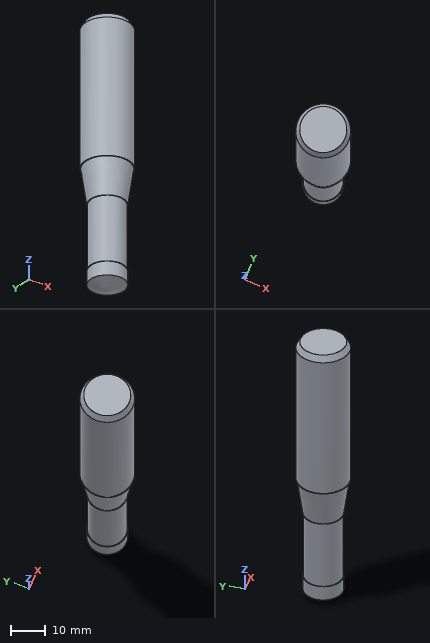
import cadquery as cq

total_length = 89.25
point_height = 2.2
head_top = 7.0
neck_top = 29.0
taper_top = 41.05

shank_diameter = 16.0
taper_top_diameter = 15.4
neck_diameter = 11.5
head_diameter = 12.0
taper_bottom_diameter = head_diameter

chamfer_height = 2.0
chamfer_width = 1.2


def revolve_profile(points):
    """Turn a closed (radius, height) outline about the Z axis."""
    return cq.Workplane("XZ").polyline(points).close().revolve(360, (0, 0, 0), (0, 1, 0))


def make_cutting_head():
    """Short cylinder with a conical point at its lower end."""
    head_radius = head_diameter / 2
    return revolve_profile([
        (0, 0),
        (head_radius, point_height),
        (head_radius, head_top),
        (0, head_top),
    ])


def make_shank():
    """Chamfered shank that tapers down to the neck above the cutting head."""
    shank_radius = shank_diameter / 2
    neck_radius = neck_diameter / 2
    return revolve_profile([
        (0, head_top),
        (neck_radius, head_top),
        (neck_radius, neck_top),
        (taper_bottom_diameter / 2, neck_top),
        (taper_top_diameter / 2, taper_top),
        (shank_radius, taper_top),
        (shank_radius, total_length - chamfer_height),
        (shank_radius - chamfer_width, total_length),
        (0, total_length),
    ])


cutting_head = make_cutting_head()
shank = make_shank()

result = cq.Compound.makeCompound([cutting_head.val(), shank.val()])